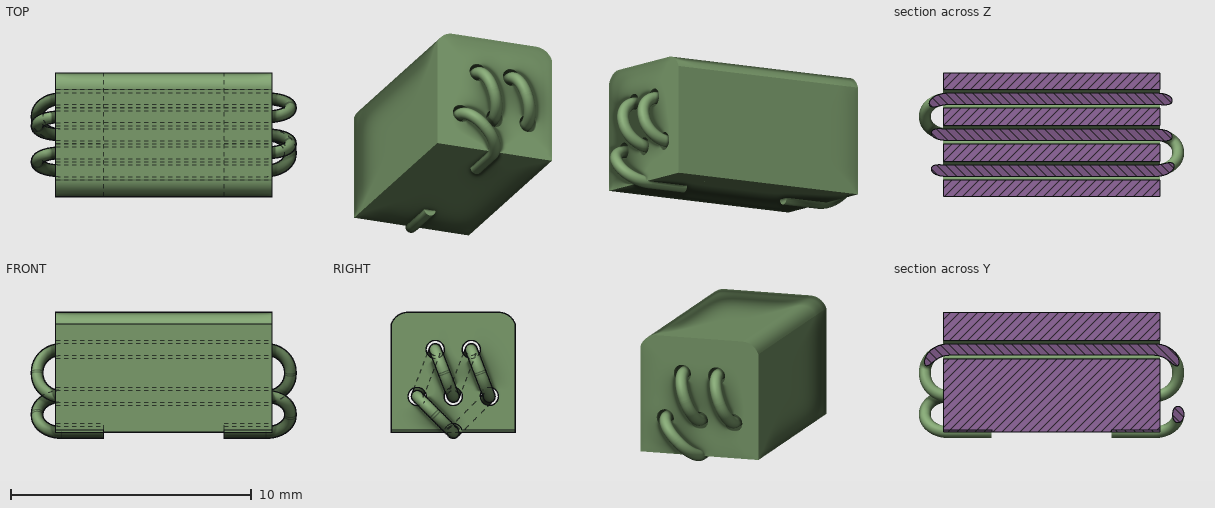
import cadquery as cq
import math

length = 9.0
width = 5.15
height = 4.99
edge_inset = 0.7
edge_drop = 0.5

overall_length = 11.0
wire_diameter = 0.5
bore_diameter = 0.75
bend_radius = 1.0

pitch = 1.5
lower_row_z = 1.5
upper_row_z = 3.44

pad_length = 2.0
pad_thickness = 0.1

half_length = length / 2
half_width = width / 2
wire_radius = wire_diameter / 2
bore_radius = bore_diameter / 2
bend_start_x = overall_length / 2 - wire_radius - bend_radius
lead_end_x = half_length - pad_length

lead = (0, 0)
passes = [
    (pitch, lower_row_z),
    (pitch / 2, upper_row_z),
    (0, lower_row_z),
    (-pitch / 2, upper_row_z),
    (-pitch, lower_row_z),
]


def point(x, place):
    return cq.Vector(x, place[0], place[1])


def straight(start_x, end_x, place):
    """Straight run of the wire axis along X."""
    return cq.Edge.makeLine(point(start_x, place), point(end_x, place))


def bend(side, start, end):
    """U-turn outside the end face: quarter arc, short straight, quarter arc."""
    centre_x = side * bend_start_x
    first = point(centre_x, start)
    last = point(centre_x, end)
    across = (last - first).normalized()
    outward = cq.Vector(side, 0, 0)
    diagonal = math.sqrt(0.5)

    first_centre = first + across * bend_radius
    last_centre = last - across * bend_radius
    first_peak = first_centre + outward * bend_radius
    last_peak = last_centre + outward * bend_radius
    first_middle = first_centre + (outward - across) * (bend_radius * diagonal)
    last_middle = last_centre + (outward + across) * (bend_radius * diagonal)
    return [
        cq.Edge.makeThreePointArc(first, first_middle, first_peak),
        cq.Edge.makeLine(first_peak, last_peak),
        cq.Edge.makeThreePointArc(last_peak, last_middle, last),
    ]


def make_wire():
    """One continuous round wire, threaded back and forth through the housing."""
    edges = [straight(-lead_end_x, -bend_start_x, lead)]
    side = -1
    previous = lead
    for place in passes:
        edges += bend(side, previous, place)
        edges.append(straight(side * bend_start_x, -side * bend_start_x, place))
        side = -side
        previous = place
    edges += bend(side, previous, lead)
    edges.append(straight(side * bend_start_x, side * lead_end_x, lead))

    path = cq.Workplane(cq.Wire.assembleEdges(edges))
    section = cq.Workplane("YZ", origin=(-lead_end_x, *lead)).circle(wire_radius)
    return section.sweep(path)


def pad_envelope(side):
    """Full-width plate with a half-round rib above the wire lead."""
    centre_x = side * (half_length - pad_length / 2)
    plate = cq.Workplane("XY").center(centre_x, 0).rect(pad_length, width).extrude(pad_thickness)
    rib = (
        cq.Workplane("YZ", origin=(side * lead_end_x, *lead))
        .moveTo(-bore_radius, 0)
        .threePointArc((0, bore_radius), (bore_radius, 0))
        .close()
        .extrude(side * pad_length)
    )
    return plate.union(rib)


def make_pad(side, wire):
    """Terminal pad, with its underside grooved to seat the wire lead."""
    return pad_envelope(side).cut(wire)


def make_housing():
    """Block with rounded top edges, through bores and recesses for the pads."""
    edge_radius = (edge_inset**2 + edge_drop**2) / (2 * edge_drop)
    mid_angle = math.asin(edge_inset / edge_radius) / 2
    mid_y = half_width - edge_inset + edge_radius * math.sin(mid_angle)
    mid_z = height - edge_radius * (1 - math.cos(mid_angle))
    side_top = height - edge_drop
    flat_edge = half_width - edge_inset
    block = (
        cq.Workplane("YZ", origin=(-half_length, 0, 0))
        .moveTo(-half_width, 0)
        .lineTo(half_width, 0)
        .lineTo(half_width, side_top)
        .threePointArc((mid_y, mid_z), (flat_edge, height))
        .lineTo(-flat_edge, height)
        .threePointArc((-mid_y, mid_z), (-half_width, side_top))
        .close()
        .extrude(length)
    )
    bores = (
        cq.Workplane("YZ", origin=(-half_length, 0, 0))
        .pushPoints(passes)
        .circle(bore_radius)
        .extrude(length)
    )
    block = block.cut(bores)
    for side in (-1, 1):
        block = block.cut(pad_envelope(side))
    return block


wire = make_wire()
housing = make_housing()
pads = [make_pad(side, wire) for side in (-1, 1)]

result = cq.Compound.makeCompound([housing.val(), wire.val(), *[pad.val() for pad in pads]])